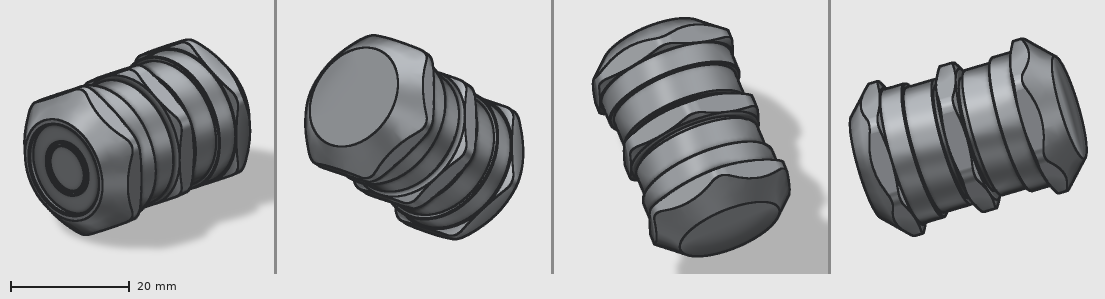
import cadquery as cq
import math

length = 36.0
full_turn = 360

nut_flats = 24.0
lock_flats = 23.0
corner_radius = 3.0
hex_sides = 6
hex_turn = full_turn / hex_sides / 2

nut_chamfer_angle = 20.0
lock_chamfer_angle = 25.0

lock_half_width = 1.75
neck_end = 2.75
body_end = 7.7
nut_inner_face = 11.6

neck_diameter = 19.9
body_diameter = 22.0
collar_diameter = 23.5
end_diameter = 18.0
collar_chamfer = 0.15

recess_diameter = 16.0
recess_depth = 1.0
recess_chamfer = 0.2
ring_outer_diameter = 9.6
ring_inner_diameter = 8.0
ring_height = 0.5
ring_chamfer = 0.2


def revolve_about_y(profile):
    """Turn a closed list of (radius, y) points about the Y axis."""
    return cq.Workplane("XY").polyline(profile).close().revolve(full_turn, (0, 0, 0), (0, 1, 0))


def cylinder(diameter, y_start, y_end):
    radius = diameter / 2
    return revolve_about_y([(0, y_start), (radius, y_start), (radius, y_end), (0, y_end)])


def corner_distance(flats):
    """Distance from the axis to a sharp corner of a hexagon."""
    return flats / math.sqrt(3)


def hex_prism(flats, y_start, y_end):
    """Hexagonal bar along Y with two flats facing +X and -X and rounded corners."""
    across_corners = 2 * corner_distance(flats)
    return (
        cq.Workplane("XZ", origin=(0, y_end, 0))
        .transformed(rotate=(0, 0, hex_turn))
        .polygon(hex_sides, across_corners)
        .extrude(y_end - y_start)
        .edges("|Y")
        .fillet(corner_radius)
    )


def chamfer_rise(radial_width, angle):
    """Axial length of a hexagon chamfer of the given radial width."""
    return radial_width * math.tan(math.radians(angle))


def lock_hex():
    """Middle hexagon, chamfered on both end faces."""
    inner = lock_flats / 2
    outer = corner_distance(lock_flats)
    edge = lock_half_width - chamfer_rise(outer - inner, lock_chamfer_angle)
    envelope = revolve_about_y([
        (0, -lock_half_width),
        (inner, -lock_half_width),
        (outer, -edge),
        (outer, edge),
        (inner, lock_half_width),
        (0, lock_half_width),
    ])
    return hex_prism(lock_flats, -lock_half_width, lock_half_width).intersect(envelope)


def nut_hex():
    """Hexagon at the +Y end, closed by a 45 degree cone."""
    inner = nut_flats / 2
    outer = corner_distance(nut_flats)
    end = length / 2
    end_radius = end_diameter / 2
    envelope = revolve_about_y([
        (0, nut_inner_face),
        (inner, nut_inner_face),
        (outer, nut_inner_face + chamfer_rise(outer - inner, nut_chamfer_angle)),
        (outer, end - (outer - end_radius)),
        (end_radius, end),
        (0, end),
    ])
    return hex_prism(nut_flats, nut_inner_face, end).intersect(envelope)


def half_body():
    """Everything on the +Y side of the middle hexagon."""
    neck = cylinder(neck_diameter, 0, neck_end)
    body = cylinder(body_diameter, neck_end, body_end)
    collar = cylinder(collar_diameter, body_end, nut_inner_face).faces("<Y").chamfer(collar_chamfer)
    return neck.union(body).union(collar).union(nut_hex())


def front_recess():
    """Cutter for the recess in the -Y end face, leaving the ring on its floor."""
    face = -length / 2
    floor = face + recess_depth
    mouth = recess_diameter / 2
    cutter = revolve_about_y([
        (0, face),
        (mouth + recess_chamfer, face),
        (mouth, face + recess_chamfer),
        (mouth, floor),
        (0, floor),
    ])
    ring_inner = ring_inner_diameter / 2
    ring_outer = ring_outer_diameter / 2
    ring_top = floor - ring_height
    ring = revolve_about_y([
        (ring_inner, floor),
        (ring_inner, ring_top + ring_chamfer),
        (ring_inner + ring_chamfer, ring_top),
        (ring_outer - ring_chamfer, ring_top),
        (ring_outer, ring_top + ring_chamfer),
        (ring_outer, floor),
    ])
    return cutter.cut(ring)


rear_half = half_body()
front_half = rear_half.mirror("XZ")
result = lock_hex().union(rear_half).union(front_half).cut(front_recess())